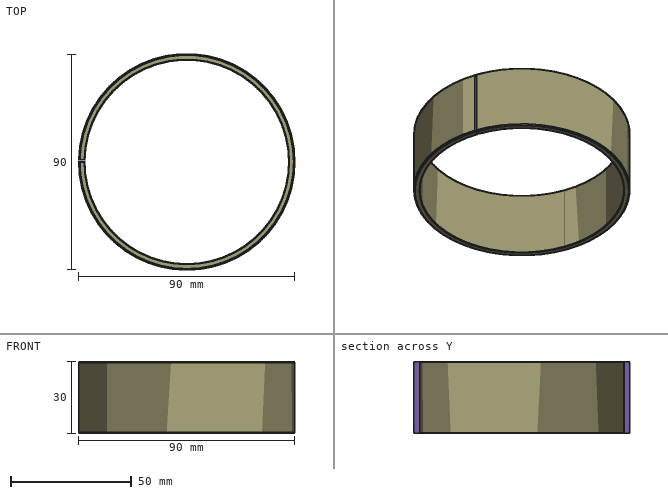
import cadquery as cq

outer_diameter = 90.0
wall = 2.5
height = 30.0
outer_chamfer = 0.495
inner_chamfer = 0.225
slit_width = 0.8

outer_radius = outer_diameter / 2
inner_radius = outer_radius - wall
slit_length = 4 * wall


def sleeve():
    """Revolve the wall section, with all four rim edges chamfered."""
    section = (
        cq.Workplane("XZ")
        .moveTo(inner_radius + inner_chamfer, 0)
        .lineTo(outer_radius - outer_chamfer, 0)
        .lineTo(outer_radius, outer_chamfer)
        .lineTo(outer_radius, height - outer_chamfer)
        .lineTo(outer_radius - outer_chamfer, height)
        .lineTo(inner_radius + inner_chamfer, height)
        .lineTo(inner_radius, height - inner_chamfer)
        .lineTo(inner_radius, inner_chamfer)
        .close()
    )
    return section.revolve(360, (0, 0, 0), (0, 1, 0))


def slit():
    """Full-height cutter through the -X wall, with one side on the XZ plane and the other at +Y."""
    return (
        cq.Workplane("XY")
        .center(-outer_radius, slit_width / 2)
        .rect(slit_length, slit_width)
        .extrude(height)
    )


result = sleeve().cut(slit())